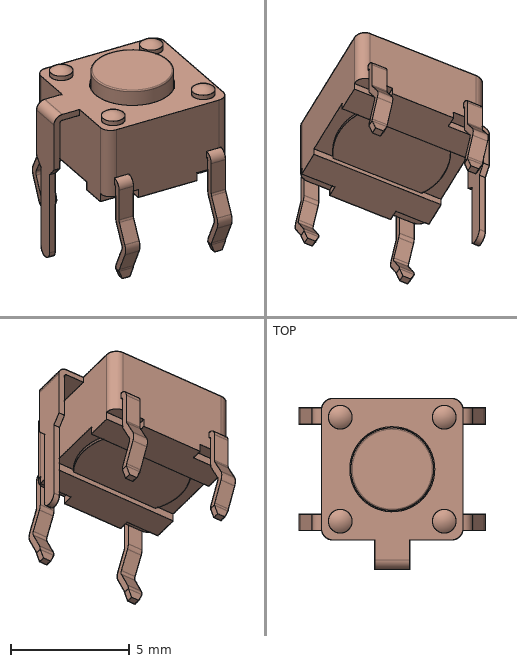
import cadquery as cq

body_side = 6.005
corner_radius = 0.5
body_bottom = 3.58
body_top = 7.205

foot_height = 0.39
corner_notch_length = 1.565
channel_width = 2.685
boss_diameter = 5.0
boss_height = 0.13
boss_taper_height = 0.06
boss_taper_inset = 0.015

button_diameter = 3.5
recess_diameter = 3.6
recess_depth = 1.0
button_top = 7.9
button_edge_radius = 0.055

rivet_diameter = 1.0
rivet_spacing = 4.4
rivet_side_height = 0.21
rivet_height = 0.4

terminal_thickness = 0.3
terminal_width = 0.7
terminal_spacing = 4.5
terminal_top = 4.875
terminal_leg_x = 3.25
shoulder_radius = 0.25
upper_bend_z = 2.92
knee_x = 3.85
knee_z = 1.8
lower_bend_z = 0.59
leg_bend_radius = 0.38
tip_start_z = 0.51
tip_end_z = 0.1
tip_width = 0.37

tab_width = 1.485
tab_thickness = 0.285
tab_reach = 1.25
tab_inner_radius = 0.12
tab_taper_top = 4.6
tab_taper_bottom = 4.19
tab_pin_width = 0.73

strip_embed = 0.475

half_body = body_side / 2
feet_top = body_bottom + foot_height


def make_block():
    """Rounded block on feet left by square corner notches and a channel along Y, with a round boss."""
    block = (
        cq.Workplane("XY", origin=(0, 0, feet_top))
        .rect(body_side, body_side)
        .extrude(body_top - feet_top)
        .edges("|Z")
        .fillet(corner_radius)
    )
    base = cq.Workplane("XY", origin=(0, 0, body_bottom))
    feet = (
        base.rect(body_side - 2 * corner_radius, body_side).extrude(foot_height)
        .union(base.rect(body_side, body_side - 2 * corner_notch_length).extrude(foot_height))
        .cut(base.rect(channel_width, body_side).extrude(foot_height))
    )
    boss = (
        cq.Workplane("XY", origin=(0, 0, feet_top - boss_height))
        .circle(boss_diameter / 2)
        .extrude(boss_height)
        .faces("<Z")
        .edges()
        .chamfer(boss_taper_height, boss_taper_inset)
    )
    return block.union(feet).union(boss)


def dome_radius(radius, rise):
    """Sphere radius of a cap with the given rim radius and rise."""
    return (radius ** 2 + rise ** 2) / (2 * rise)


def make_rivets():
    """Four short round heads with domed tops."""
    radius = rivet_diameter / 2
    head = (
        cq.Workplane("XZ")
        .lineTo(radius, 0)
        .lineTo(radius, rivet_side_height)
        .radiusArc((0, rivet_height), -dome_radius(radius, rivet_height - rivet_side_height))
        .close()
        .revolve(360, (0, 0, 0), (0, 1, 0))
        .val()
    )
    return (
        cq.Workplane("XY", origin=(0, 0, body_top))
        .rect(rivet_spacing, rivet_spacing, forConstruction=True)
        .vertices()
        .eachpoint(lambda place: head.moved(place))
    )


def bend_strip(path, width, thickness):
    """Sweep a flat strip along a path in the XZ plane that starts along +X."""
    return (
        cq.Workplane("YZ", origin=path.startPoint().toTuple())
        .rect(width, thickness)
        .sweep(cq.Workplane(path), transition="right")
    )


def make_terminal():
    """Strip that leaves the block along +X, turns down, kinks outward and ends in a tapered tip."""
    shoulder_z = terminal_top - terminal_thickness / 2
    path = cq.Wire.makePolygon([
        cq.Vector(half_body - strip_embed, 0, shoulder_z),
        cq.Vector(terminal_leg_x, 0, shoulder_z),
        cq.Vector(terminal_leg_x, 0, upper_bend_z),
        cq.Vector(knee_x, 0, knee_z),
        cq.Vector(terminal_leg_x, 0, lower_bend_z),
        cq.Vector(terminal_leg_x, 0, tip_end_z),
    ])
    path = path.fillet(leg_bend_radius, path.Vertices()[2:5])
    path = path.fillet(shoulder_radius, path.Vertices()[1:2])
    strip = bend_strip(path, terminal_width, terminal_thickness)
    tip_waste = (
        cq.Workplane("YZ", origin=(terminal_leg_x, 0, 0))
        .moveTo(terminal_width / 2, tip_start_z)
        .lineTo(tip_width / 2, tip_end_z)
        .lineTo(terminal_width / 2, tip_end_z)
        .close()
        .extrude(terminal_thickness, both=True)
    )
    return strip.cut(tip_waste).cut(tip_waste.mirror("XZ"))


def make_ground_tab():
    """Strip that leaves the top of the block toward -Y, turns down and narrows to a pin."""
    start = half_body - strip_embed
    shoulder_z = body_top - tab_thickness / 2
    leg = half_body + tab_reach - tab_thickness / 2
    path = cq.Wire.makePolygon([
        cq.Vector(start, 0, shoulder_z),
        cq.Vector(leg, 0, shoulder_z),
        cq.Vector(leg, 0, 0),
    ]).fillet(tab_inner_radius + tab_thickness / 2)
    strip = bend_strip(path, tab_width, tab_thickness).rotate((0, 0, 0), (0, 0, 1), -90)
    half_tab = tab_width / 2
    half_pin = tab_pin_width / 2
    front_outline = (
        cq.Workplane("XZ")
        .moveTo(-half_tab, body_top)
        .lineTo(half_tab, body_top)
        .lineTo(half_tab, tab_taper_top)
        .lineTo(half_pin, tab_taper_bottom)
        .lineTo(half_pin, half_pin)
        .threePointArc((0, 0), (-half_pin, half_pin))
        .lineTo(-half_pin, tab_taper_bottom)
        .lineTo(-half_tab, tab_taper_top)
        .close()
        .extrude(half_body + tab_reach)
    )
    return strip.intersect(front_outline)


def make_housing():
    """Block with its rivet heads, terminals and ground tab, and the recess for the button."""
    terminal = make_terminal()
    housing = make_block().union(make_rivets()).union(make_ground_tab())
    for y in (-terminal_spacing / 2, terminal_spacing / 2):
        placed = terminal.translate((0, y, 0))
        housing = housing.union(placed).union(placed.mirror("YZ"))
    recess = (
        cq.Workplane("XY", origin=(0, 0, body_top - recess_depth))
        .circle(recess_diameter / 2)
        .extrude(button_top - body_top + recess_depth)
    )
    return housing.cut(recess)


def make_button():
    """Round button standing on the recess floor, with a rounded top edge."""
    floor_z = body_top - recess_depth
    return (
        cq.Workplane("XY", origin=(0, 0, floor_z))
        .circle(button_diameter / 2)
        .extrude(button_top - floor_z)
        .faces(">Z")
        .edges()
        .fillet(button_edge_radius)
    )


housing = make_housing()
button = make_button()
result = cq.Compound.makeCompound([housing.val(), button.val()])